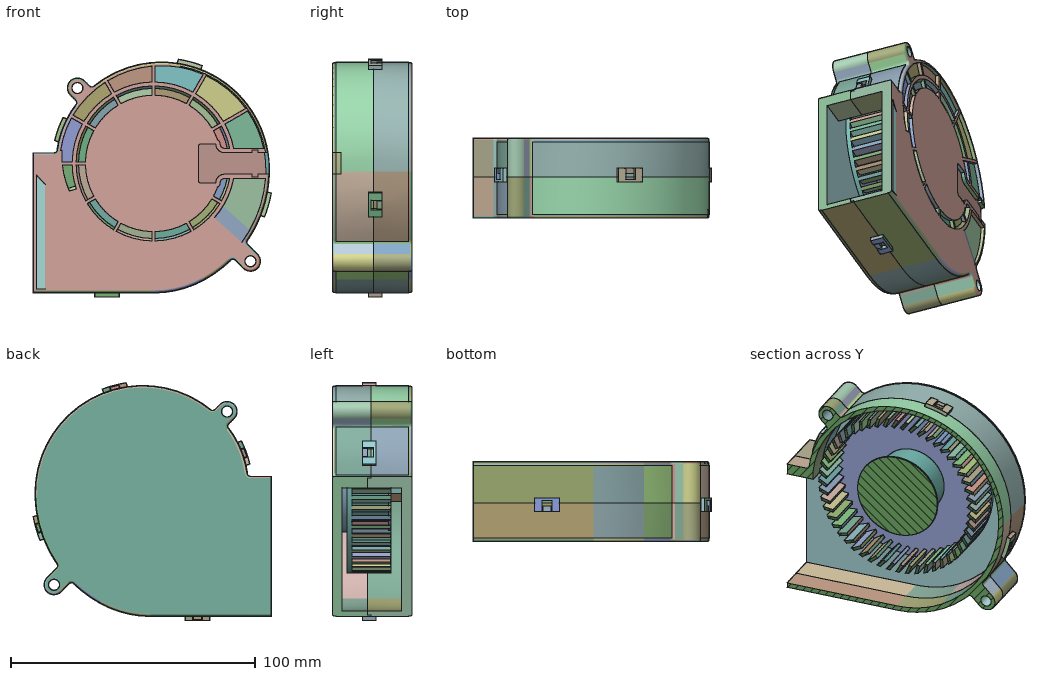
import cadquery as cq
import math


DEPTH = 32.7
MOUTH_X = -49.27
OUTLET_TOP_Z = 4.35
OUTLET_BOTTOM_Z = -53.0
WALL = 2.2
OUTLET_TOP_WALL = 4.75
CAVITY_FRONT_Y = 4.3
CAVITY_BACK_Y = DEPTH - 4.0
EDGE_ROUND = 0.8
TONGUE_ROUND = 1.5

BASE_RADIUS = 39.9
GROWTH_START = 141.5
GROWTH_OFFSET = 4.2
GROWTH_END = -1
BOTTOM_ARC_CENTRE_Z = -10.1
SHOULDER_INSET = 0.2
SHOULDER_WIDTH = 1.5

JOINT_Y = 16.9
LIP_LENGTH = 1.4
LIP_INSET = 0.65

LUGS = [(135.3, 43.85), (-45.3, 56.3)]
LUG_RADIUS = 4.1
LUG_ARM_LENGTH = 12.3
LUG_HOLE_RADIUS = 2.2
LUG_ROOT_ROUND = 1.5

SCROLL_CLIP_ANGLES = (-20, 70, 160)
BOTTOM_CLIP_X = -19.05
CLIP_LENGTH = 10.1
CLIP_HEIGHT = 1.65
CLIP_FRONT_Y = 14.8
CLIP_BACK_Y = 20.4
CLIP_NOTCH_LENGTH = 4.0
CLIP_NOTCH_FRONT_Y = 15.9
HOOK_LENGTH = 3.4
HOOK_HEIGHT = 1.2
HOOK_FRONT_Y = 18.2
HOOK_BACK_Y = CLIP_BACK_Y

RECESS_DEPTH = 1.5
RIM_WIDTH = 1.5
RIB_WIDTH = 1.3
RIB_PITCH = 30
POCKET_INNER_RADIUS = 33.3
POCKET_TAIL_RADIUS = 34.9
POCKET_TAIL_CENTRE = (-2.6, 3.0)
POCKET_TAIL_START = 172
POCKET_START = -41.8
POCKET_END = 198.2
POCKET_START_RAMP = 5.9
POCKET_END_RAMP = 1.2
SLOT_INNER_RADIUS = 27.9
SLOT_OUTER_RADIUS = 31.7
SLOT_FLOOR_RADIUS = 30.7

PAD_LEFT_X = 18.4
PAD_RIGHT_X = 25.4
PAD_HALF_HEIGHT = 8.0
PAD_CORNER_ROUND = 0.9
CHANNEL_HALF_HEIGHT = 4.4
CHANNEL_WALL = 1.8
CHANNEL_END_X = 60.0
CHANNEL_NOTCH_X = 41.4
CHANNEL_NOTCH_LENGTH = 2.4
CHANNEL_NOTCH_DEPTH = 1.2
CHANNEL_SILL_DEPTH = 3.5

PANEL_LEFT_X = -47.9
PANEL_RIGHT_X = -44.3
PANEL_TOP_Z = -4.8
PANEL_TOP_DROP = 3.8
PANEL_BOTTOM_Z = -51.3
PANEL_DEPTH = 0.4

STEP_LEFT_X = -37.7
STEP_SLANT_TOP_Z = -2.7
STEP_SLANT_RIGHT_X = -32.5
STEP_SLANT_BOTTOM_Z = -6.2

IMPELLER_RADIUS = 35.2
IMPELLER_FRONT_Y = 8.7
PLATE_FRONT_Y = 24.7
PLATE_BACK_Y = 26.6
BLADE_COUNT = 52
BLADE_THICKNESS = 1.4
BLADE_LENGTH = 4.2
BLADE_LEAN = 29

MOTOR_BASE_RADIUS = 18.4
MOTOR_CORE_RADIUS = 14.1
MOTOR_FLANGE_RADIUS = 17.9
MOTOR_FLANGE_THICKNESS = 1.0

FAR = 80.0
EDGE_MATCH = 0.05


def polar(radius, angle):
    return (radius * math.cos(math.radians(angle)), radius * math.sin(math.radians(angle)))


def face_plane(y):
    """Sketch plane at the given Y, with sketch x along X and sketch y along Z."""
    return cq.Workplane("XZ", origin=(0, y, 0))


def prism(sketch, y_start, y_end):
    """Extrudes the outline drawn by `sketch` from y_start back to y_end."""
    return sketch(face_plane(y_start)).extrude(y_start - y_end)


def disc(radius, y_start, y_end):
    return prism(lambda plane: plane.circle(radius), y_start, y_end)


def ring(inner_radius, outer_radius, y_start, y_end):
    return prism(lambda plane: plane.circle(outer_radius).circle(inner_radius), y_start, y_end)


def sector(start, end, y_start, y_end):
    """Wedge about the axis from angle `start` counter-clockwise to `end`."""
    middle = (start + end) / 2
    return prism(
        lambda plane: plane.lineTo(*polar(FAR, start))
        .threePointArc(polar(FAR, middle), polar(FAR, end))
        .close(),
        y_start,
        y_end,
    )


def block(x_start, x_end, y_start, y_end, z_start, z_end):
    size = (x_end - x_start, y_end - y_start, z_end - z_start)
    return cq.Workplane().box(*size, centered=False).translate((x_start, y_start, z_start))


def turned(body, angle):
    """Turns a body counter-clockwise about the axis, as seen from the front."""
    return body.rotate((0, 0, 0), (0, -1, 0), angle)


def scroll_outline(plane, inset, top_z):
    """Scroll and outlet duct, moved inward by `inset` except at the open mouth."""
    base_radius = BASE_RADIUS - inset
    growth_radius = base_radius + GROWTH_OFFSET
    growth_centre = cq.Vector(*polar(-GROWTH_OFFSET, GROWTH_START))
    bottom_z = OUTLET_BOTTOM_Z + inset
    bottom_radius = BOTTOM_ARC_CENTRE_Z - bottom_z
    bottom_centre = cq.Vector(0, BOTTOM_ARC_CENTRE_Z)

    def on_arc(centre, radius, angle):
        return (centre + cq.Vector(*polar(radius, angle))).toTuple()[:2]

    side_direction = cq.Vector(*polar(1, GROWTH_END))
    side_start = growth_centre + side_direction * growth_radius
    span = side_start - bottom_centre
    side_radius = (span.dot(span) - bottom_radius**2) / (2 * (span.dot(side_direction) - bottom_radius))
    side_centre = side_start - side_direction * side_radius
    drop = bottom_centre - side_centre
    side_end_angle = math.degrees(math.atan2(drop.y, drop.x))

    tongue_angle = 180 - math.degrees(math.asin(top_z / base_radius))
    return (
        plane.moveTo(MOUTH_X, top_z)
        .lineTo(*polar(base_radius, tongue_angle))
        .threePointArc(
            polar(base_radius, (tongue_angle + GROWTH_START) / 2), polar(base_radius, GROWTH_START)
        )
        .threePointArc(
            on_arc(growth_centre, growth_radius, (GROWTH_START + GROWTH_END) / 2),
            on_arc(growth_centre, growth_radius, GROWTH_END),
        )
        .threePointArc(
            on_arc(side_centre, side_radius, (GROWTH_END + side_end_angle) / 2),
            on_arc(bottom_centre, bottom_radius, side_end_angle),
        )
        .threePointArc(
            on_arc(bottom_centre, bottom_radius, (side_end_angle - 90) / 2), (0, bottom_z)
        )
        .lineTo(MOUTH_X, bottom_z)
        .close()
    )


def scroll(inset, y_start, y_end, top_z=None):
    """Solid scroll and duct; the duct top is moved in by `inset` too unless `top_z` is given."""
    level = OUTLET_TOP_Z - inset if top_z is None else top_z
    return prism(lambda plane: scroll_outline(plane, inset, level), y_start, y_end)


def lug(angle, distance):
    """Full-depth screw lug without its hole."""
    arm = block(distance - LUG_ARM_LENGTH, distance, 0, DEPTH, -LUG_RADIUS, LUG_RADIUS)
    eye = disc(LUG_RADIUS, 0, DEPTH).translate((distance, 0, 0))
    return turned(arm.union(eye), angle)


def is_lug_root(edge):
    """True for an edge where the straight side of a lug meets the scroll."""
    for angle, distance in LUGS:
        local = turned(cq.Workplane(cq.Vertex.makeVertex(*edge.Center().toTuple())), -angle).val()
        on_side = abs(abs(local.Z) - LUG_RADIUS) < EDGE_MATCH
        if on_side and distance - LUG_ARM_LENGTH < local.X < distance - EDGE_MATCH:
            return True
    return False


def is_tongue_corner(edge):
    """True for the edge where the top of the outlet duct meets the scroll."""
    centre = edge.Center()
    radius = BASE_RADIUS - SHOULDER_INSET
    on_scroll = abs(math.hypot(centre.x, centre.z) - radius) < EDGE_MATCH
    return on_scroll and centre.x < 0 and abs(centre.z - OUTLET_TOP_Z) < EDGE_MATCH


def round_edges(body, edges, radius):
    return body.newObject(edges).fillet(radius)


def housing_envelope():
    """Outside of the closed housing, with the lugs, before it is hollowed and split."""
    envelope = scroll(SHOULDER_INSET, 0, DEPTH, OUTLET_TOP_Z)
    for angle, distance in LUGS:
        envelope = envelope.union(lug(angle, distance))
    roots = [edge for edge in envelope.edges("|Y").vals() if is_lug_root(edge)]
    envelope = round_edges(envelope, roots, LUG_ROOT_ROUND)
    tongue = [edge for edge in envelope.edges("|Y").vals() if is_tongue_corner(edge)]
    envelope = round_edges(envelope, tongue, TONGUE_ROUND)
    rims = envelope.faces("<Y or >Y").edges().vals()
    rims = [edge for edge in rims if edge.Center().x > MOUTH_X + EDGE_MATCH]
    envelope = round_edges(envelope, rims, EDGE_ROUND)
    envelope = envelope.union(scroll(0, SHOULDER_WIDTH, DEPTH - SHOULDER_WIDTH))
    for angle, distance in LUGS:
        x, z = polar(distance, angle)
        envelope = envelope.cut(disc(LUG_HOLE_RADIUS, 0, DEPTH).translate((x, 0, z)))
    return envelope


def cable_channel_outline(plane):
    fillet_radius = PAD_HALF_HEIGHT - CHANNEL_HALF_HEIGHT
    neck_x = PAD_RIGHT_X + fillet_radius
    bend = fillet_radius * math.sqrt(0.5)
    return (
        plane.moveTo(CHANNEL_END_X, CHANNEL_HALF_HEIGHT)
        .lineTo(neck_x, CHANNEL_HALF_HEIGHT)
        .threePointArc((neck_x - bend, PAD_HALF_HEIGHT - bend), (PAD_RIGHT_X, PAD_HALF_HEIGHT))
        .lineTo(PAD_LEFT_X, PAD_HALF_HEIGHT)
        .lineTo(PAD_LEFT_X, -PAD_HALF_HEIGHT)
        .lineTo(PAD_RIGHT_X, -PAD_HALF_HEIGHT)
        .threePointArc((neck_x - bend, bend - PAD_HALF_HEIGHT), (neck_x, -CHANNEL_HALF_HEIGHT))
        .lineTo(CHANNEL_END_X, -CHANNEL_HALF_HEIGHT)
        .close()
    )


def cable_channel():
    """Recess for the cable and its pad, stepping down where it crosses the rim."""
    channel = prism(cable_channel_outline, 0, RECESS_DEPTH)
    channel = channel.edges("|Y and <X").fillet(PAD_CORNER_ROUND)
    reach = CHANNEL_HALF_HEIGHT + CHANNEL_NOTCH_DEPTH
    half_notch = CHANNEL_NOTCH_LENGTH / 2
    notch = block(
        CHANNEL_NOTCH_X - half_notch, CHANNEL_NOTCH_X + half_notch, 0, RECESS_DEPTH, -reach, reach
    )
    sill = scroll(0, 0, CHANNEL_SILL_DEPTH).cut(scroll(RIM_WIDTH, 0, CHANNEL_SILL_DEPTH))
    sill = sill.intersect(
        block(0, FAR, 0, CHANNEL_SILL_DEPTH, -CHANNEL_HALF_HEIGHT, CHANNEL_HALF_HEIGHT)
    )
    return channel.union(notch).union(sill)


def channel_walls():
    """Region kept solid around the cable channel."""
    return prism(lambda plane: cable_channel_outline(plane).offset2D(CHANNEL_WALL), 0, RECESS_DEPTH)


def ribs(angles):
    bars = cq.Workplane()
    for angle in angles:
        bar = block(0, FAR, 0, RECESS_DEPTH, -RIB_WIDTH / 2, RIB_WIDTH / 2)
        bars = bars.union(turned(bar, angle))
    return bars


def ramp(angle, run):
    """Sloped end of a recess: starts at the face on the ray `angle`, reaches full depth after `run`."""
    wedge = (
        cq.Workplane("YZ")
        .polyline([(0, 0), (RECESS_DEPTH, 0), (RECESS_DEPTH, run)])
        .close()
        .extrude(FAR)
    )
    return turned(wedge, angle)


def rim_pockets():
    """Pockets between the ring and the rim, split by ribs and ramped at both ends."""
    pockets = scroll(RIM_WIDTH, 0, RECESS_DEPTH).intersect(
        sector(POCKET_START, POCKET_TAIL_START, 0, RECESS_DEPTH)
    )
    tail_x, tail_z = POCKET_TAIL_CENTRE
    tail = disc(POCKET_TAIL_RADIUS, 0, RECESS_DEPTH).translate((tail_x, 0, tail_z))
    tail = tail.intersect(
        sector(POCKET_TAIL_START - 1, POCKET_END, 0, RECESS_DEPTH)
    )
    pockets = pockets.union(tail).cut(disc(POCKET_INNER_RADIUS, 0, RECESS_DEPTH))
    pockets = pockets.cut(ramp(POCKET_START, POCKET_START_RAMP))
    pockets = pockets.cut(ramp(POCKET_END, -POCKET_END_RAMP))
    return pockets.cut(ribs(range(RIB_PITCH, 180 + RIB_PITCH, RIB_PITCH))).cut(channel_walls())


def ring_slots():
    """Ring of slots around the centre disc, with a conical outer wall."""
    cone = cq.Workplane(
        cq.Solid.makeCone(
            SLOT_OUTER_RADIUS, SLOT_FLOOR_RADIUS, RECESS_DEPTH, cq.Vector(0, 0, 0), cq.Vector(0, 1, 0)
        )
    )
    slots = cone.cut(disc(SLOT_INNER_RADIUS, 0, RECESS_DEPTH))
    return slots.cut(ribs(range(RIB_PITCH, 360, RIB_PITCH))).cut(channel_walls())


def outlet_panel():
    """Shallow recess that deepens toward the mouth, with a slanted top."""
    outline = [
        (PANEL_LEFT_X, PANEL_TOP_Z),
        (PANEL_RIGHT_X, PANEL_TOP_Z - PANEL_TOP_DROP),
        (PANEL_RIGHT_X, PANEL_BOTTOM_Z),
        (PANEL_LEFT_X, PANEL_BOTTOM_Z),
    ]
    panel = prism(lambda plane: plane.polyline(outline).close(), 0, PANEL_DEPTH)
    taper = (
        cq.Workplane("XY")
        .polyline([(PANEL_LEFT_X, 0), (PANEL_RIGHT_X, 0), (PANEL_LEFT_X, PANEL_DEPTH)])
        .close()
        .extrude(-FAR)
    )
    return panel.intersect(taper)


def raised_floor():
    """Step on the inside of the front wall behind the rim pockets, with a slanted end at the outlet."""
    step = ring(POCKET_INNER_RADIUS, FAR, CAVITY_FRONT_Y, IMPELLER_FRONT_Y)
    right = step.intersect(sector(0, 90, CAVITY_FRONT_Y, IMPELLER_FRONT_Y))
    left_outline = [
        (STEP_LEFT_X, FAR),
        (STEP_LEFT_X, STEP_SLANT_TOP_Z),
        (STEP_SLANT_RIGHT_X, STEP_SLANT_BOTTOM_Z),
        (0, STEP_SLANT_BOTTOM_Z),
        (0, FAR),
    ]
    left = step.intersect(
        prism(lambda plane: plane.polyline(left_outline).close(), CAVITY_FRONT_Y, IMPELLER_FRONT_Y)
    )
    return right.union(left)


def cavity():
    """Air space inside the housing, open at the mouth."""
    scroll_space = scroll(WALL, CAVITY_FRONT_Y, CAVITY_BACK_Y)
    tongue_wall = block(MOUTH_X, 0, 0, DEPTH, OUTLET_TOP_Z - OUTLET_TOP_WALL, OUTLET_TOP_Z)
    tongue_wall = tongue_wall.cut(disc(BASE_RADIUS - WALL, 0, DEPTH))
    return scroll_space.cut(tongue_wall).cut(raised_floor())


def clip_stations():
    """Direction of each clip from the axis, and how far it is shifted along X."""
    return [(angle, 0) for angle in SCROLL_CLIP_ANGLES] + [(-90, BOTTOM_CLIP_X)]


def band(angle, shift, length, height, y_start, y_end):
    """Strip of the given length lying on the outside of the housing, `height` thick."""
    shell = scroll(-height, y_start, y_end).cut(scroll(0, y_start, y_end))
    slab = turned(block(0, FAR, y_start, y_end, -length / 2, length / 2), angle)
    return shell.intersect(slab.translate((shift, 0, 0)))


def clip(angle, shift):
    """U-shaped snap clip, open toward the back."""
    frame = band(angle, shift, CLIP_LENGTH, CLIP_HEIGHT, CLIP_FRONT_Y, CLIP_BACK_Y)
    notch = band(angle, shift, CLIP_NOTCH_LENGTH, 2 * CLIP_HEIGHT, CLIP_NOTCH_FRONT_Y, CLIP_BACK_Y)
    return frame.cut(notch)


def hook(angle, shift):
    """Catch that sits in the notch of a clip."""
    return band(angle, shift, HOOK_LENGTH, HOOK_HEIGHT, HOOK_FRONT_Y, HOOK_BACK_Y)


def front_region():
    """Everything in front of the joint, plus the lip that reaches into the back shell."""
    half = block(-FAR, FAR, 0, JOINT_Y, -FAR, FAR)
    return half.union(scroll(LIP_INSET, JOINT_Y, JOINT_Y + LIP_LENGTH))


def housing_shells():
    """Front shell with its recesses and clips, and back shell with its hooks."""
    hollow = housing_envelope().cut(cavity())
    front = hollow.intersect(front_region())
    back = hollow.cut(front_region())
    front = front.cut(rim_pockets()).cut(ring_slots()).cut(cable_channel()).cut(outlet_panel())
    for angle, shift in clip_stations():
        front = front.union(clip(angle, shift))
        back = back.union(hook(angle, shift))
    return front, back


def impeller_body():
    """Back plate with leaning blades around its edge, bored to fit the motor core."""
    wheel = ring(MOTOR_CORE_RADIUS, IMPELLER_RADIUS, PLATE_FRONT_Y, PLATE_BACK_Y)
    tip = (IMPELLER_RADIUS, 0, 0)
    half_blade = BLADE_THICKNESS / 2
    blade = block(
        IMPELLER_RADIUS - BLADE_LENGTH,
        IMPELLER_RADIUS + BLADE_THICKNESS,
        IMPELLER_FRONT_Y,
        PLATE_FRONT_Y,
        -half_blade,
        half_blade,
    )
    blade = blade.rotate(tip, (IMPELLER_RADIUS, 1, 0), BLADE_LEAN)
    blade = blade.intersect(disc(IMPELLER_RADIUS, IMPELLER_FRONT_Y, PLATE_FRONT_Y))
    blades = [turned(blade, index * 360 / BLADE_COUNT).val() for index in range(BLADE_COUNT)]
    return cq.Workplane(wheel.val().fuse(*blades))


def motor_body():
    """Stepped cylinder: base on the back wall, core through the impeller, flange at the front."""
    base = disc(MOTOR_BASE_RADIUS, PLATE_BACK_Y, CAVITY_BACK_Y)
    core = disc(MOTOR_CORE_RADIUS, IMPELLER_FRONT_Y, PLATE_BACK_Y)
    flange = disc(MOTOR_FLANGE_RADIUS, IMPELLER_FRONT_Y, IMPELLER_FRONT_Y + MOTOR_FLANGE_THICKNESS)
    return base.union(core).union(flange)


front_shell, back_shell = housing_shells()
impeller = impeller_body()
motor = motor_body()

result = cq.Compound.makeCompound(
    [*front_shell.vals(), *back_shell.vals(), *impeller.vals(), *motor.vals()]
)